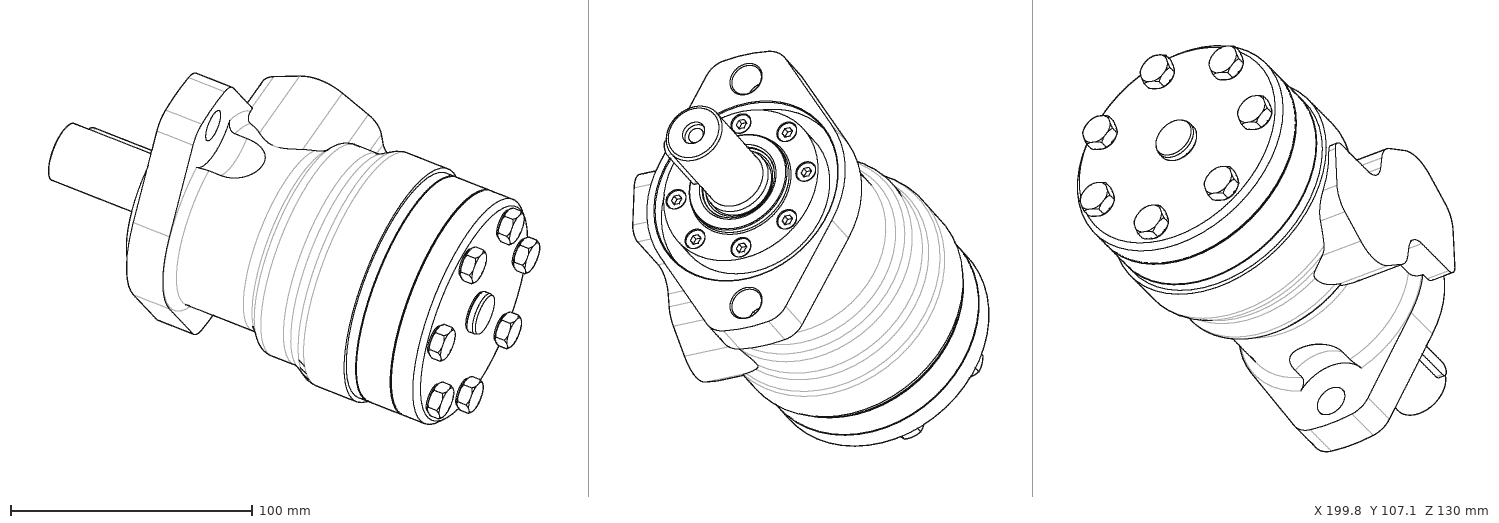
import cadquery as cq
import math


COLLAR_FRONT = 45.5
PILOT_FRONT = 48.8
FLANGE_FRONT = 54.1
COVER_DISC_FRONT = 61.0
COVER_BACK = 68.0
FLANGE_BACK = 71.1
HOUSING_BACK = 159.8
SPACER_BACK = 164.2
RING_BACK = 180.8
END_COVER_BACK = 193.5
BOLT_TOP = 199.8

SHAFT_RADIUS = 25.4 / 2
JOURNAL_RADIUS = 28.5 / 2
SHAFT_CONE_START = 42.8
SHAFT_CONE_LENGTH = 1.8
TIP_CHAMFER_LENGTH = 0.5
TIP_CHAMFER_DEPTH = 1.2
CENTRE_RECESS_DIAMETER = 10.0
CENTRE_RECESS_DEPTH = 2.4
CENTRE_HOLE_DIAMETER = 6.5
CENTRE_HOLE_DEPTH = 12.0
CENTRE_HOLE_CONE = 1.8
KEY_START = 4.5
KEY_LENGTH = 32.8
KEY_WIDTH = 6.4
KEY_TOP = 15.4
KEY_SEAT = 9.0

PILOT_RADIUS = 35.0
COVER_DISC_RADIUS = 41.4
COLLAR_RADIUS = 22.2
COLLAR_CHAMFER = 0.4
COLLAR_FLARE = 0.5
SEAL_MOUTH_RADIUS = 17.4
SEAL_RECESS_RADIUS = 16.4
SEAL_RECESS_DEPTH = 1.5
SEAL_CHAMFER = 0.5
SEAL_LIP_RADIUS = 15.2
SEAL_LIP_DEPTH = 0.8
SCREW_COUNT = 8
SCREW_CIRCLE_RADIUS = 29.4
SCREW_RECESS_DIAMETER = 9.0
SCREW_RECESS_DEPTH = 2.0
SCREW_HEAD_DIAMETER = 8.5
SCREW_HEAD_DROP = 0.5
SOCKET_ACROSS_CORNERS = 4.5
SOCKET_DEPTH = 3.0

FLANGE_HALF_HEIGHT = 65.0
FLANGE_SIDE_RADIUS = 45.0
FLANGE_CORNER_RADIUS = 11.0
FLANGE_EDGE_ANGLE = 30
MOUNT_HOLE_OFFSET = 53.1
MOUNT_HOLE_DIAMETER = 13.4
MOUNT_HOLE_CHAMFER = 0.5
BOLT_POCKET_RADIUS = 18.5
BOLT_POCKET_END = 80.7
RECESS_CHAMFER = 0.4

NECK_RADIUS = 40.4
WAIST_RADIUS = 47.2
BARREL_RADIUS = 52.0
FLANGE_FILLET = 4.0
NECK_END = 106.5
WAIST_START = 118.3
WAIST_END = 128.9
BARREL_START = 140.9
FIRST_SHOULDER_ANGLE = 45
FIRST_SHOULDER_INNER_FILLET = 7.4
FIRST_SHOULDER_OUTER_FILLET = 5.5
SECOND_SHOULDER_ANGLE = 30
SECOND_SHOULDER_INNER_FILLET = 8.0
SECOND_SHOULDER_OUTER_FILLET = 6.0

PORT_FACE = 55.1
PORT_BLOCK_START = 10.0

STACK_RADIUS = 50.05
RING_CHAMFER = 0.4
END_COVER_CHAMFER = 2.4

BOLT_COUNT = 7
BOLT_CIRCLE_RADIUS = 40.0
BOLT_FIRST_ANGLE = 79.3
BOLT_ACROSS_FLATS = 13.0
BOLT_HEX_TURN = -15
BOLT_HEX_CHAMFER = 0.9
WASHER_FACE_RADIUS = 6.0
WASHER_FACE_HEIGHT = 0.8
PLUG_Y = 1.0
PLUG_Z = 0.5
PLUG_RADIUS = 9.0
PLUG_NECK_RADIUS = 8.4
PLUG_TOP = 198.0
PLUG_CHAMFER_LENGTH = 1.2
PLUG_CHAMFER_DEPTH = 0.4


def rod(start, end, radius, y=0.0, z=0.0):
    """Cylinder along X between two stations."""
    plane = cq.Plane(origin=(start, y, z), xDir=(0, 1, 0), normal=(1, 0, 0))
    return cq.Workplane(plane).circle(radius).extrude(end - start)


def revolved(profile):
    """Solid turned about the X axis from (station, radius) points."""
    return cq.Workplane("XY").polyline(profile).close().revolve(360, (0, 0, 0), (1, 0, 0))


def hex_rod(start, end, across_corners, y, z, turn=0.0):
    """Hexagonal prism along X, turned about its own axis."""
    prism = cq.Workplane("YZ").polygon(6, across_corners).extrude(end - start)
    return prism.rotate((0, 0, 0), (1, 0, 0), turn).translate((start, y, z))


def direction(angle):
    """Unit vector in the plane at an angle in degrees."""
    return math.cos(math.radians(angle)), math.sin(math.radians(angle))


def polar(radius, angle):
    """Point at a radius and an angle in degrees about the origin."""
    along, up = direction(angle)
    return radius * along, radius * up


def arc_points(centre, radius, start_angle, end_angle):
    """Middle and end point of an arc."""
    points = []
    for angle in ((start_angle + end_angle) / 2, end_angle):
        along, up = direction(angle)
        points.append((centre[0] + radius * along, centre[1] + radius * up))
    return points


def ring_positions(count, radius, first_angle=0.0):
    """Places (y, z) spread evenly on a circle about the X axis, the first turned up from -Y."""
    for index in range(count):
        along, up = direction(first_angle + index * 360 / count)
        yield -radius * along, radius * up


def make_shaft():
    """Shaft with a raised round-ended key and a stepped centre hole in its tip."""
    cone_end = SHAFT_CONE_START + SHAFT_CONE_LENGTH
    shaft = revolved([
        (0, 0),
        (0, SHAFT_RADIUS - TIP_CHAMFER_DEPTH),
        (TIP_CHAMFER_LENGTH, SHAFT_RADIUS),
        (SHAFT_CONE_START, SHAFT_RADIUS),
        (cone_end, JOURNAL_RADIUS),
        (COVER_BACK, JOURNAL_RADIUS),
        (COVER_BACK, 0),
    ])
    centre_hole = revolved([
        (0, 0),
        (0, CENTRE_RECESS_DIAMETER / 2),
        (CENTRE_RECESS_DEPTH, CENTRE_RECESS_DIAMETER / 2),
        (CENTRE_RECESS_DEPTH, CENTRE_HOLE_DIAMETER / 2),
        (CENTRE_HOLE_DEPTH, CENTRE_HOLE_DIAMETER / 2),
        (CENTRE_HOLE_DEPTH + CENTRE_HOLE_CONE, 0),
    ])
    key = (
        cq.Workplane("XZ", origin=(KEY_START + KEY_LENGTH / 2, KEY_SEAT, 0))
        .slot2D(KEY_LENGTH, KEY_WIDTH)
        .extrude(KEY_SEAT - KEY_TOP)
    )
    return shaft.union(key).cut(centre_hole)


def make_front_cover():
    """Cover with pilot and seal collar, carrying the heads of its socket screws."""
    recess_floor = COLLAR_FRONT + SEAL_RECESS_DEPTH
    cover = revolved([
        (COLLAR_FRONT, SEAL_MOUTH_RADIUS),
        (COLLAR_FRONT, COLLAR_RADIUS - COLLAR_CHAMFER),
        (COLLAR_FRONT + COLLAR_CHAMFER, COLLAR_RADIUS),
        (PILOT_FRONT - COLLAR_FLARE, COLLAR_RADIUS),
        (PILOT_FRONT, COLLAR_RADIUS + COLLAR_FLARE),
        (PILOT_FRONT, PILOT_RADIUS),
        (COVER_DISC_FRONT, PILOT_RADIUS),
        (COVER_DISC_FRONT, COVER_DISC_RADIUS),
        (COVER_BACK, COVER_DISC_RADIUS),
        (COVER_BACK, JOURNAL_RADIUS),
        (recess_floor + SEAL_LIP_DEPTH, JOURNAL_RADIUS),
        (recess_floor, SEAL_LIP_RADIUS),
        (recess_floor, SEAL_RECESS_RADIUS),
        (COLLAR_FRONT + SEAL_CHAMFER, SEAL_RECESS_RADIUS),
    ])
    screw_face = PILOT_FRONT + SCREW_HEAD_DROP
    recess_end = PILOT_FRONT + SCREW_RECESS_DEPTH
    for y, z in ring_positions(SCREW_COUNT, SCREW_CIRCLE_RADIUS):
        recess = rod(PILOT_FRONT, recess_end, SCREW_RECESS_DIAMETER / 2, y, z)
        screw_head = rod(screw_face, recess_end, SCREW_HEAD_DIAMETER / 2, y, z)
        socket = hex_rod(screw_face, screw_face + SOCKET_DEPTH, SOCKET_ACROSS_CORNERS, y, z)
        cover = cover.cut(recess.cut(screw_head)).cut(socket)
    return cover


def make_flange():
    """Two-hole flange: round sides, straight tapered edges, rounded corners and domed ends."""
    edge_along, edge_up = direction(FLANGE_EDGE_ANGLE)
    side_mid = polar(FLANGE_SIDE_RADIUS, FLANGE_EDGE_ANGLE / 2)
    side_end = polar(FLANGE_SIDE_RADIUS, FLANGE_EDGE_ANGLE)

    centre_distance = FLANGE_HALF_HEIGHT - FLANGE_CORNER_RADIUS
    offset = FLANGE_SIDE_RADIUS - FLANGE_CORNER_RADIUS
    centre_angle = FLANGE_EDGE_ANGLE + math.degrees(math.acos(offset / centre_distance))
    centre = polar(centre_distance, centre_angle)
    corner_start = (
        centre[0] + FLANGE_CORNER_RADIUS * edge_along,
        centre[1] + FLANGE_CORNER_RADIUS * edge_up,
    )
    corner_mid, corner_end = arc_points(
        centre, FLANGE_CORNER_RADIUS, FLANGE_EDGE_ANGLE, centre_angle
    )
    dome_mid = polar(FLANGE_HALF_HEIGHT, (centre_angle + 90) / 2)

    quarter = (
        cq.Workplane("YZ", origin=(FLANGE_FRONT, 0, 0))
        .moveTo(0, 0)
        .lineTo(FLANGE_SIDE_RADIUS, 0)
        .threePointArc(side_mid, side_end)
        .lineTo(*corner_start)
        .threePointArc(corner_mid, corner_end)
        .threePointArc(dome_mid, (0, FLANGE_HALF_HEIGHT))
        .close()
        .extrude(FLANGE_BACK - FLANGE_FRONT)
    )
    half = quarter.union(quarter.mirror("XZ"))
    return half.union(half.mirror("XY")).clean()


def add_shoulder(path, start, end, angle, inner_fillet, outer_fillet):
    """Continue a turned profile up a conical shoulder with a fillet at each end."""
    along, rise = math.sin(math.radians(angle)), 1 - math.cos(math.radians(angle))
    cone_start = (start[0] + inner_fillet * along, start[1] + inner_fillet * rise)
    cone_end = (end[0] - outer_fillet * along, end[1] - outer_fillet * rise)
    path = path.tangentArcPoint(cone_start, relative=False).lineTo(*cone_end)
    return path.tangentArcPoint(end, relative=False)


def make_barrel():
    """Turned body behind the flange, stepping up twice to the full diameter."""
    fillet_end = (FLANGE_BACK + FLANGE_FILLET, NECK_RADIUS)
    fillet_centre = (fillet_end[0], NECK_RADIUS + FLANGE_FILLET)
    fillet_mid, _ = arc_points(fillet_centre, FLANGE_FILLET, 180, 270)
    path = (
        cq.Workplane("XY")
        .moveTo(FLANGE_FRONT, 0)
        .lineTo(FLANGE_FRONT, fillet_centre[1])
        .lineTo(FLANGE_BACK, fillet_centre[1])
        .threePointArc(fillet_mid, fillet_end)
        .lineTo(NECK_END, NECK_RADIUS)
    )
    path = add_shoulder(
        path,
        (NECK_END, NECK_RADIUS),
        (WAIST_START, WAIST_RADIUS),
        FIRST_SHOULDER_ANGLE,
        FIRST_SHOULDER_INNER_FILLET,
        FIRST_SHOULDER_OUTER_FILLET,
    )
    path = path.lineTo(WAIST_END, WAIST_RADIUS)
    path = add_shoulder(
        path,
        (WAIST_END, WAIST_RADIUS),
        (BARREL_START, BARREL_RADIUS),
        SECOND_SHOULDER_ANGLE,
        SECOND_SHOULDER_INNER_FILLET,
        SECOND_SHOULDER_OUTER_FILLET,
    )
    return (
        path.lineTo(HOUSING_BACK, BARREL_RADIUS)
        .lineTo(HOUSING_BACK, 0)
        .close()
        .revolve(360, (0, 0, 0), (1, 0, 0))
    )


def make_port_block():
    """Port block of rounded outline; each corner of its polygon is filleted in turn."""
    corners = [
        (62.3, -4.8, 5.0),
        (64.7, 25.5, 12.2),
        (92.7, 41.0, 20.4),
        (120.0, 25.2, 12.5),
        (123.0, 4.8, 10.0),
        (158.2, 4.8, 5.0),
        (156.0, -25.5, 12.2),
        (126.5, -42.0, 20.0),
        (101.0, -23.4, 11.0),
        (98.0, -4.8, 10.4),
    ]
    outline = [(x, z) for x, z, _ in corners]
    block = (
        cq.Workplane("XZ", origin=(0, PORT_BLOCK_START, 0))
        .polyline(outline)
        .close()
        .extrude(PORT_BLOCK_START - PORT_FACE)
    )
    middle = (PORT_BLOCK_START + PORT_FACE) / 2
    for x, z, radius in corners:
        corner_edge = cq.selectors.NearestToPointSelector((x, middle, z))
        block = block.edges("|Y").edges(corner_edge).fillet(radius)
    return block


def make_housing():
    """Flange, barrel and port block in one casting, with the cover recess and mounting holes."""
    housing = make_flange().union(make_barrel()).union(make_port_block())
    housing = housing.cut(rod(FLANGE_FRONT, COVER_BACK, COVER_DISC_RADIUS))
    recess_mouth = revolved([
        (FLANGE_FRONT, 0),
        (FLANGE_FRONT, COVER_DISC_RADIUS + RECESS_CHAMFER),
        (FLANGE_FRONT + RECESS_CHAMFER, COVER_DISC_RADIUS),
        (FLANGE_FRONT + RECESS_CHAMFER, 0),
    ])
    housing = housing.cut(recess_mouth)
    hole_radius = MOUNT_HOLE_DIAMETER / 2
    mount_hole = revolved([
        (FLANGE_FRONT, 0),
        (FLANGE_FRONT, hole_radius + MOUNT_HOLE_CHAMFER),
        (FLANGE_FRONT + MOUNT_HOLE_CHAMFER, hole_radius),
        (FLANGE_BACK, hole_radius),
        (FLANGE_BACK, 0),
    ])
    pocket_end = BOLT_POCKET_END + BOLT_POCKET_RADIUS
    pocket = rod(FLANGE_BACK, BOLT_POCKET_END, BOLT_POCKET_RADIUS)
    ball = cq.Workplane("XY").sphere(BOLT_POCKET_RADIUS).translate((BOLT_POCKET_END, 0, 0))
    pocket = pocket.union(ball.intersect(rod(FLANGE_BACK, pocket_end, BOLT_POCKET_RADIUS)))
    for height in (MOUNT_HOLE_OFFSET, -MOUNT_HOLE_OFFSET):
        housing = housing.cut(pocket.translate((0, 0, height)))
        housing = housing.cut(mount_hole.translate((0, 0, height)))
    return housing


def make_spacer():
    return rod(HOUSING_BACK, SPACER_BACK, STACK_RADIUS)


def make_gear_ring():
    return rod(SPACER_BACK, RING_BACK, STACK_RADIUS).edges().chamfer(RING_CHAMFER)


def make_bolt_head(y, z):
    """Hexagon head with both ends chamfered, standing on a round washer face."""
    washer_face = rod(END_COVER_BACK, END_COVER_BACK + WASHER_FACE_HEIGHT, WASHER_FACE_RADIUS)
    head_start = END_COVER_BACK + WASHER_FACE_HEIGHT
    across_corners = BOLT_ACROSS_FLATS * 2 / math.sqrt(3)
    corner_radius = across_corners / 2
    turned = rod(head_start, BOLT_TOP, corner_radius).edges().chamfer(BOLT_HEX_CHAMFER)
    head = hex_rod(head_start, BOLT_TOP, across_corners, 0, 0, BOLT_HEX_TURN).intersect(turned)
    return washer_face.union(head).translate((0, y, z))


def make_plug():
    neck_end = END_COVER_BACK + WASHER_FACE_HEIGHT
    plug = revolved([
        (END_COVER_BACK, 0),
        (END_COVER_BACK, PLUG_NECK_RADIUS),
        (neck_end, PLUG_NECK_RADIUS),
        (neck_end, PLUG_RADIUS),
        (PLUG_TOP - PLUG_CHAMFER_LENGTH, PLUG_RADIUS),
        (PLUG_TOP, PLUG_RADIUS - PLUG_CHAMFER_DEPTH),
        (PLUG_TOP, 0),
    ])
    return plug.translate((0, PLUG_Y, PLUG_Z))


def make_end_cover():
    """End cover carrying its bolt heads and drain plug."""
    cover = rod(RING_BACK, END_COVER_BACK, STACK_RADIUS).edges(">X").chamfer(END_COVER_CHAMFER)
    for y, z in ring_positions(BOLT_COUNT, BOLT_CIRCLE_RADIUS, BOLT_FIRST_ANGLE):
        cover = cover.union(make_bolt_head(y, z))
    return cover.union(make_plug())


shaft = make_shaft()
front_cover = make_front_cover()
housing = make_housing()
spacer = make_spacer()
gear_ring = make_gear_ring()
end_cover = make_end_cover()

result = cq.Compound.makeCompound([
    shaft.val(),
    front_cover.val(),
    housing.val(),
    spacer.val(),
    gear_ring.val(),
    end_cover.val(),
])